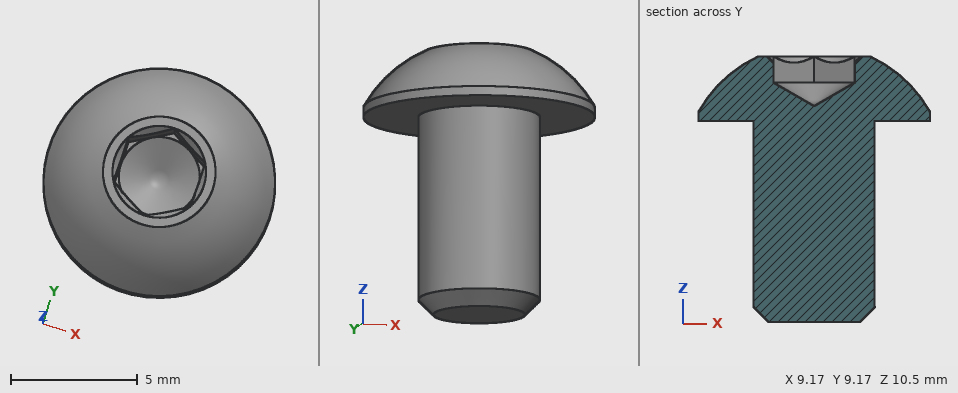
import cadquery as cq
import math

total_length = 10.5
head_height = 2.55
head_diameter = 9.17
head_radius = head_diameter / 2
rim_height = 0.37
crown_radius = 2.23
shank_radius = 2.4
tip_radius = 1.81
tip_height = shank_radius - tip_radius
shank_length = total_length - head_height

dome_center_z = (crown_radius**2 + head_height**2 - head_radius**2 - rim_height**2) / (
    2 * (head_height - rim_height)
)
dome_radius = math.hypot(crown_radius, head_height - dome_center_z)
dome_mid_radius = (head_radius + crown_radius) / 2
dome_mid_height = dome_center_z + math.sqrt(dome_radius**2 - dome_mid_radius**2)

socket_flats = 3.2
socket_depth = 1.03
floor_angle = 30.0
lead_in_angle = 45.0

socket_inradius = socket_flats / 2
socket_circumradius = socket_inradius / math.cos(math.pi / 6)


def make_body():
    """Revolve the shank, its chamfered tip, and the domed head."""
    return (
        cq.Workplane("XZ")
        .moveTo(0, -shank_length)
        .lineTo(tip_radius, -shank_length)
        .lineTo(shank_radius, tip_height - shank_length)
        .lineTo(shank_radius, 0)
        .lineTo(head_radius, 0)
        .lineTo(head_radius, rim_height)
        .threePointArc((dome_mid_radius, dome_mid_height), (crown_radius, head_height))
        .lineTo(0, head_height)
        .close()
        .revolve(360, (0, 0), (0, 1))
    )


def make_cone(radius, top_z, slope_angle):
    """Make a cone pointing down from a circle at top_z."""
    depth = radius * math.tan(math.radians(slope_angle))
    return (
        cq.Workplane("XZ")
        .moveTo(0, top_z)
        .lineTo(radius, top_z)
        .lineTo(0, top_z - depth)
        .close()
        .revolve(360, (0, 0), (0, 1))
    )


def make_socket():
    """Make the hexagonal recess, its lead-in chamfer and its conical floor."""
    hexagon = (
        cq.Workplane("XY", origin=(0, 0, head_height - socket_depth))
        .transformed(rotate=(0, 0, 90))
        .polygon(6, 2 * socket_circumradius)
        .extrude(socket_depth)
    )
    lead_in = make_cone(socket_circumradius, head_height, lead_in_angle)
    floor_cone = make_cone(socket_inradius, head_height - socket_depth, floor_angle)
    return hexagon.union(lead_in).union(floor_cone)


result = make_body().cut(make_socket())